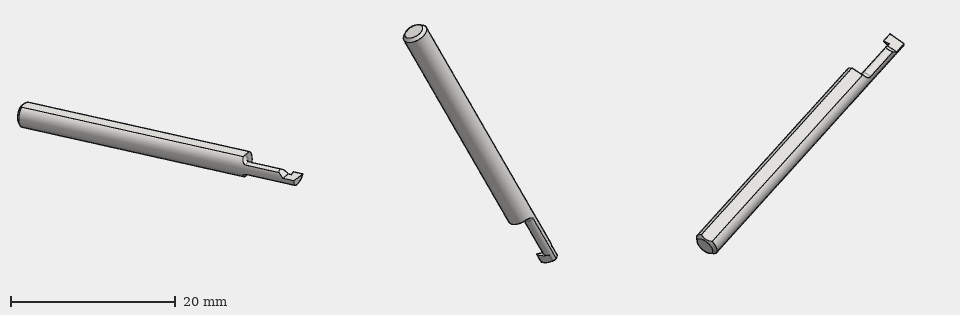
import cadquery as cq

total_length = 38.1
shank_diameter = 3.15
height_over_flat = 2.95
shank_length = 30.67
back_chamfer = 0.4

neck_diameter = 1.6
neck_y = -0.95
root_fillet = 0.7

tip_y = 0.65
head_back_at_tip = 36.75
head_back_at_neck = 37.05
end_relief = 0.1
face_z = 0.05
face_start = 36.5

shank_radius = shank_diameter / 2
flat_z = height_over_flat - shank_radius
neck_radius = neck_diameter / 2


def make_shank():
    """Round bar with a chamfered back end."""
    bar = cq.Workplane("YZ").circle(shank_radius).extrude(shank_length)
    return bar.faces("<X").chamfer(back_chamfer)


def make_neck():
    """Thin round neck with a concave flare at its root, kept inside the bar diameter."""
    flare_end = shank_length + root_fillet
    flare_radius = neck_radius + root_fillet
    profile = (
        cq.Workplane("XZ", origin=(0, neck_y, 0))
        .moveTo(shank_length, 0)
        .lineTo(shank_length, flare_radius)
        .radiusArc((flare_end, neck_radius), -root_fillet)
        .lineTo(total_length, neck_radius)
        .lineTo(total_length, 0)
        .close()
    )
    neck = profile.revolve(360, (0, 0), (1, 0))
    bar_limit = cq.Workplane("YZ").circle(shank_radius).extrude(total_length)
    return neck.intersect(bar_limit)


def make_head():
    """Side tooth whose underside curves up from the bottom of the neck to the tip."""
    reach = tip_y - neck_y
    rise = face_z + neck_radius
    rise_radius = (reach ** 2 + rise ** 2) / (2 * rise)
    section = (
        cq.Workplane("YZ", origin=(head_back_at_tip, 0, 0))
        .moveTo(neck_y, face_z)
        .lineTo(neck_y, -neck_radius)
        .radiusArc((tip_y, face_z), -rise_radius)
        .close()
        .extrude(total_length - head_back_at_tip)
    )
    outline = (
        cq.Workplane("XY", origin=(0, 0, -neck_radius))
        .moveTo(head_back_at_tip, tip_y)
        .lineTo(total_length, tip_y)
        .lineTo(total_length, neck_y)
        .lineTo(head_back_at_neck, neck_y)
        .close()
        .extrude(neck_diameter)
    )
    return section.intersect(outline)


def cut_flat(body):
    """Clamping flat along the top of the shank."""
    cutter = (
        cq.Workplane("XY", origin=(0, 0, flat_z))
        .rect(2 * total_length, shank_diameter)
        .extrude(shank_radius)
    )
    return body.cut(cutter)


def cut_rake_face(body):
    """Remove the upper half of the neck end, entering by a 45 degree slope."""
    slope_length = neck_radius - face_z
    cutter = (
        cq.Workplane("XZ")
        .moveTo(face_start, face_z)
        .lineTo(total_length, face_z)
        .lineTo(total_length, neck_radius)
        .lineTo(face_start - slope_length, neck_radius)
        .close()
        .extrude(shank_diameter, both=True)
    )
    return body.cut(cutter)


def cut_end_relief(body):
    """Slant the end face back from the tip toward the -Y side."""
    cutter = (
        cq.Workplane("XY", origin=(0, 0, -shank_radius))
        .moveTo(total_length, tip_y)
        .lineTo(total_length - end_relief, -shank_radius)
        .lineTo(total_length, -shank_radius)
        .close()
        .extrude(shank_diameter)
    )
    return body.cut(cutter)


tool = make_shank().union(make_neck()).union(make_head())
tool = cut_rake_face(tool)
tool = cut_end_relief(tool)
result = cut_flat(tool)